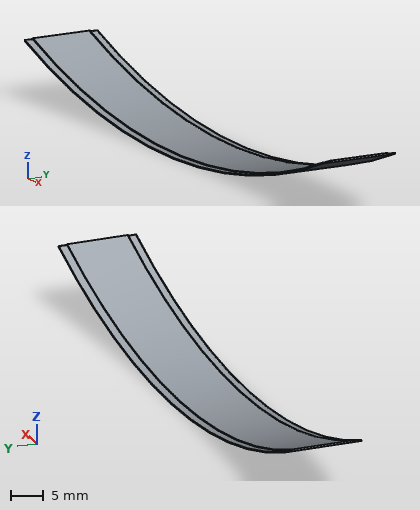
import cadquery as cq
import math

length = 90.7
width = 12.7
outer_radius = 120.5
thickness = 0.32
ledge_thickness = 0.2
ledge_width = 1.4

half_angle = math.degrees(math.asin(length / 2 / outer_radius))
inner_radius = outer_radius - thickness
ledge_radius = outer_radius - ledge_thickness
half_width = width / 2
raised_half_width = half_width - ledge_width

section = (
    cq.Workplane("YZ")
    .polyline([
        (-half_width, -outer_radius),
        (half_width, -outer_radius),
        (half_width, -ledge_radius),
        (raised_half_width, -ledge_radius),
        (raised_half_width, -inner_radius),
        (-raised_half_width, -inner_radius),
        (-raised_half_width, -ledge_radius),
        (-half_width, -ledge_radius),
    ])
    .close()
)

strip = section.revolve(2 * half_angle, (0, 0), (1, 0))
strip = strip.rotate((0, 0, 0), (0, 1, 0), -half_angle)

result = strip.translate((0, 0, outer_radius))